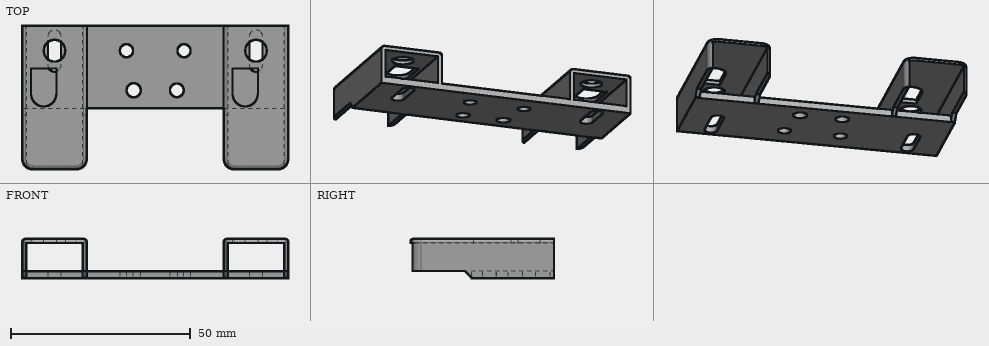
import cadquery as cq

LENGTH = 74.0
DEPTH = 40.0
HEIGHT = 11.0

PLATE_THICKNESS = 2.0
PLATE_FRONT_Y = 17.0

COVER_WIDTH = 18.0
WALL_THICKNESS = 1.2
ROOF_THICKNESS = WALL_THICKNESS
CORNER_RADIUS = 3.0
TOP_FILLET = 1.0
COVER_LEFT_EDGES = (0.0, LENGTH - COVER_WIDTH)

RELIEF_HEIGHT = PLATE_THICKNESS
RELIEF_LIP_HEIGHT = 0.2
RELIEF_SLOPE_RUN = RELIEF_HEIGHT - RELIEF_LIP_HEIGHT

SCREW_X = COVER_WIDTH / 2
SCREW_Y = 33.0
ACCESS_DIAMETER = 6.0
SLOT_WIDTH = 3.6
SLOT_TRAVEL = 8.0
SLOT_LENGTH = SLOT_TRAVEL + SLOT_WIDTH

WINDOW_X = 6.0
WINDOW_BACK_Y = 28.0
WINDOW_WIDTH = 7.0
WINDOW_LENGTH = 10.5

PLATE_HOLES = (
    (-8.0, 33.0, 3.6),
    (8.0, 33.0, 3.6),
    (-6.0, 22.0, 3.89),
    (6.0, 22.0, 3.76),
)


def make_plate():
    plate = cq.Workplane("XY").box(LENGTH, DEPTH - PLATE_FRONT_Y, PLATE_THICKNESS, centered=False)
    return plate.translate((0, PLATE_FRONT_Y, 0))


def make_relief():
    """Clearance below the front of a cover, ending in a 45 degree slope above a low lip."""
    return (
        cq.Workplane("YZ")
        .lineTo(PLATE_FRONT_Y, 0)
        .lineTo(PLATE_FRONT_Y, RELIEF_LIP_HEIGHT)
        .lineTo(PLATE_FRONT_Y - RELIEF_SLOPE_RUN, RELIEF_HEIGHT)
        .lineTo(0, RELIEF_HEIGHT)
        .close()
        .extrude(COVER_WIDTH)
    )


def make_cover():
    block = cq.Workplane("XY").box(COVER_WIDTH, DEPTH, HEIGHT, centered=False)
    block = block.edges("|Z and <Y").fillet(CORNER_RADIUS)
    block = block.faces(">Z").edges("not >Y").fillet(TOP_FILLET)
    channel = cq.Workplane("XY").box(
        COVER_WIDTH - 2 * WALL_THICKNESS, DEPTH, HEIGHT - ROOF_THICKNESS, centered=False
    )
    return block.cut(channel.translate((WALL_THICKNESS, 0, 0))).cut(make_relief())


def make_roof_openings():
    """Access hole and window, tall enough to pass through the roof only."""
    roof_bottom = cq.Workplane("XY").workplane(offset=HEIGHT - ROOF_THICKNESS)
    access = roof_bottom.center(SCREW_X, SCREW_Y).circle(ACCESS_DIAMETER / 2).extrude(ROOF_THICKNESS)
    radius = WINDOW_WIDTH / 2
    front_y = WINDOW_BACK_Y - WINDOW_LENGTH
    window = (
        roof_bottom.moveTo(WINDOW_X - radius, WINDOW_BACK_Y)
        .lineTo(WINDOW_X - radius, front_y + radius)
        .threePointArc((WINDOW_X, front_y), (WINDOW_X + radius, front_y + radius))
        .lineTo(WINDOW_X + radius, WINDOW_BACK_Y)
        .close()
        .extrude(ROOF_THICKNESS)
    )
    return access.union(window)


def make_screw_slot():
    return (
        cq.Workplane("XY")
        .center(SCREW_X, SCREW_Y)
        .slot2D(SLOT_LENGTH, SLOT_WIDTH, 90)
        .extrude(PLATE_THICKNESS)
    )


def make_plate_hole(offset_x, y, diameter):
    return (
        cq.Workplane("XY")
        .center(LENGTH / 2 + offset_x, y)
        .circle(diameter / 2)
        .extrude(PLATE_THICKNESS)
    )


result = make_plate()
for left_edge in COVER_LEFT_EDGES:
    result = result.union(make_cover().translate((left_edge, 0, 0)))
for left_edge in COVER_LEFT_EDGES:
    result = result.cut(make_roof_openings().translate((left_edge, 0, 0)))
    result = result.cut(make_screw_slot().translate((left_edge, 0, 0)))
for offset_x, y, diameter in PLATE_HOLES:
    result = result.cut(make_plate_hole(offset_x, y, diameter))